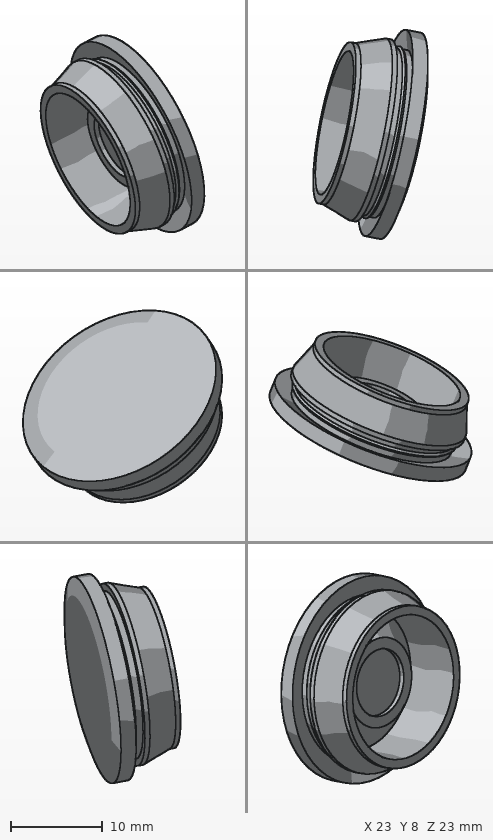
import cadquery as cq
import math

length = 8.0

flange_radius = 11.5
flange_back_radius = 9.5
flange_front_depth = 5.75
flange_angle = math.radians(15)

neck_radius = 9.35
ridge_radius = 9.6
ridge_peak_depth = 5.4
ridge_half_width = 0.25

lip_radius = 10.15
lip_front_depth = 3.8
lip_width = 0.57
rim_radius = 9.0
rim_width = 0.57

bore_radius = 8.0
bore_depth = 6.35
bore_draft = math.radians(1)
boss_top_radius = 5.0
boss_angle = math.radians(45)

recess_radius = 3.75
recess_depth = 0.6

chamfer_length = (flange_radius - flange_back_radius) * math.tan(flange_angle)
undercut_depth = (flange_radius - neck_radius) * math.tan(flange_angle)
bore_floor_radius = bore_radius - bore_depth * math.tan(bore_draft)
boss_height = (bore_floor_radius - boss_top_radius) / math.tan(boss_angle)
boss_top_depth = bore_depth - boss_height
recess_floor_depth = boss_top_depth + recess_depth


def outer_profile():
    """Outside (radius, depth) points from the front rim to the flange back."""
    return [
        (rim_radius, 0),
        (rim_radius, rim_width),
        (lip_radius, lip_front_depth),
        (lip_radius, lip_front_depth + lip_width),
        (neck_radius, lip_front_depth + lip_width),
        (neck_radius, ridge_peak_depth - ridge_half_width),
        (ridge_radius, ridge_peak_depth),
        (neck_radius, ridge_peak_depth + ridge_half_width),
        (neck_radius, flange_front_depth + undercut_depth),
        (flange_radius, flange_front_depth),
        (flange_radius, length - chamfer_length),
        (flange_back_radius, length),
    ]


def inner_profile():
    """Inside (radius, depth) points from the recess floor out to the bore mouth."""
    return [
        (0, recess_floor_depth),
        (recess_radius, recess_floor_depth),
        (recess_radius, boss_top_depth),
        (boss_top_radius, boss_top_depth),
        (bore_floor_radius, bore_depth),
        (bore_radius, 0),
    ]


half_section = outer_profile() + [(0, length)] + inner_profile()
result = cq.Workplane("ZY").polyline(half_section).close().revolve(360, (0, 0, 0), (0, 1, 0))